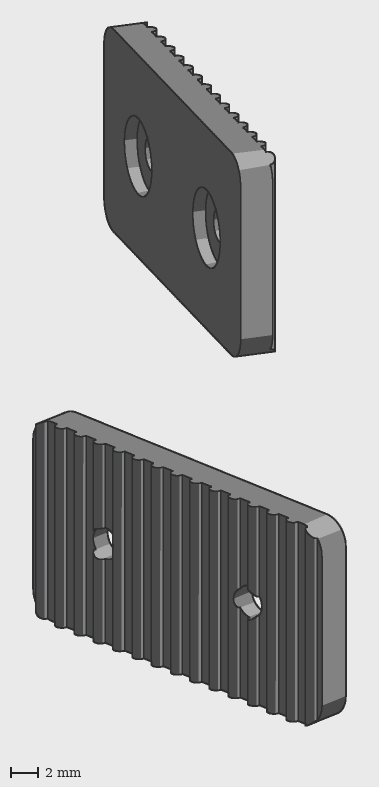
import cadquery as cq

length = 30.0
height = 16.0
overall_thickness = 3.0
corner_radius = 2.0

tooth_count = 15
tooth_pitch = length / tooth_count
tooth_radius = 0.5
plate_thickness = overall_thickness - tooth_radius

hole_spacing = length / 2
hole_diameter = 2.5
counterbore_diameter = 6.0
counterbore_depth = 1.0


def toothed_block():
    """Extrude the plan outline, with a row of half-round teeth along its back."""
    half_length = length / 2
    outline = cq.Workplane("XY").moveTo(-half_length, 0).lineTo(-half_length, plate_thickness)
    for index in range(tooth_count):
        center_x = (index + 0.5) * tooth_pitch - half_length
        outline = outline.lineTo(center_x - tooth_radius, plate_thickness)
        outline = outline.threePointArc(
            (center_x, overall_thickness),
            (center_x + tooth_radius, plate_thickness),
        )
    outline = outline.lineTo(half_length, plate_thickness).lineTo(half_length, 0).close()
    return outline.extrude(height / 2, both=True)


def rounded_envelope():
    """Rounded rectangle that trims the plate and the tooth ends at the corners."""
    envelope = cq.Workplane("XZ").rect(length, height).extrude(-overall_thickness)
    return envelope.edges("|Y").fillet(corner_radius)


def screw_hole_cutter():
    """Through holes with their wider counterbores on the front face."""
    centers = [(-hole_spacing / 2, 0), (hole_spacing / 2, 0)]
    front = cq.Workplane("XZ").pushPoints(centers)
    holes = front.circle(hole_diameter / 2).extrude(-overall_thickness)
    counterbores = front.circle(counterbore_diameter / 2).extrude(-counterbore_depth)
    return holes.union(counterbores)


result = toothed_block().intersect(rounded_envelope()).cut(screw_hole_cutter())